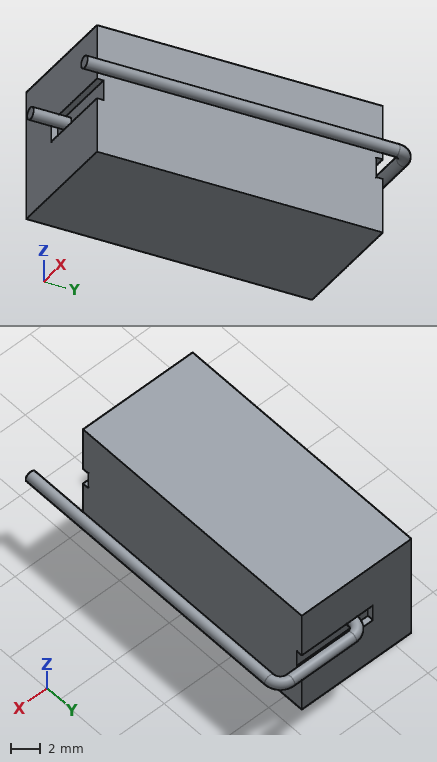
import cadquery as cq

body_width = 10.0
body_length = 22.0

slot_height = 1.55
slot_depth = 0.5
slot_start = 3.5

wire_diameter = 0.92
lead_spacing = 7.6
bend_radius = 1.0
front_overhang = 2.4
rear_overhang = 1.07

wire_radius = wire_diameter / 2
wire_tip_y = -front_overhang
fold_y = body_length + rear_overhang - wire_radius
bend_start_y = fold_y - bend_radius


def make_slot(start_y):
    """Cutter for one end slot, slot_depth long in Y from start_y."""
    slot_width = body_width - slot_start
    return cq.Workplane("XY").box(slot_width, slot_depth, slot_height, centered=(False, False, True)).translate(
        (slot_start - body_width / 2, start_y, 0)
    )


def make_body():
    """Block with an axial wire hole and a relief slot in both ends."""
    block = cq.Workplane("XY").box(body_width, body_length, body_width, centered=(True, False, True))
    for start_y in (0, body_length - slot_depth):
        block = block.cut(make_slot(start_y))
    wire_hole = cq.Workplane("XZ").circle(wire_radius).extrude(-body_length)
    return block.cut(wire_hole)


def make_wire():
    """Round wire swept along a U-shaped centre line with two rounded corners."""
    centre_line = (
        cq.Workplane("XY")
        .moveTo(0, wire_tip_y)
        .lineTo(0, bend_start_y)
        .radiusArc((bend_radius, fold_y), bend_radius)
        .lineTo(lead_spacing - bend_radius, fold_y)
        .radiusArc((lead_spacing, bend_start_y), bend_radius)
        .lineTo(lead_spacing, wire_tip_y)
    )
    return cq.Workplane("XZ", origin=(0, wire_tip_y, 0)).circle(wire_radius).sweep(centre_line)


body = make_body()
wire = make_wire()

result = cq.Compound.makeCompound([body.val(), wire.val()])